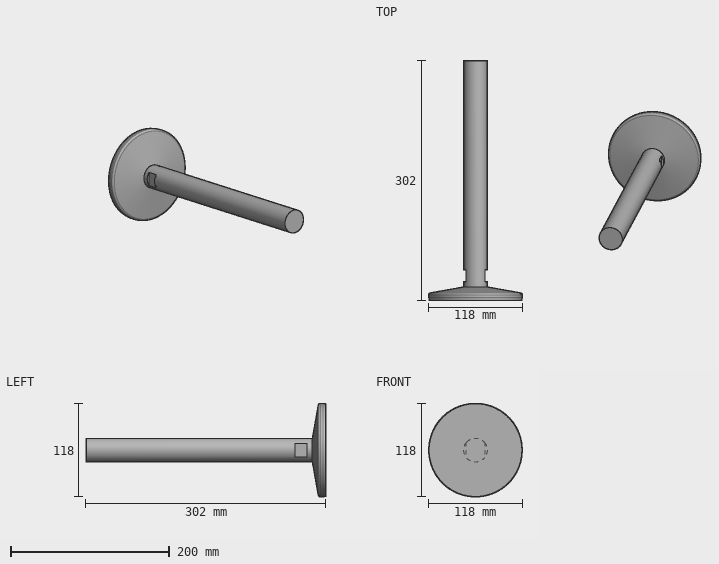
import cadquery as cq

total_length = 302.0
disc_diameter = 118.0
shaft_diameter = 30.0

face_inset = 0.5
taper_height = 4.0
rim_height = 9.5
disc_height = 17.2
shoulder_radius = 2.7
selection_margin = 0.3

flat_start = 24.0
flat_length = 14.8
across_flats = 24.5

disc_radius = disc_diameter / 2
shaft_radius = shaft_diameter / 2


def make_disc():
    """Turn the disc, then round the shoulder between its rim and its cone."""
    disc = (
        cq.Workplane("XY")
        .moveTo(0, 0)
        .lineTo(disc_radius - face_inset, 0)
        .lineTo(disc_radius, taper_height)
        .lineTo(disc_radius, rim_height)
        .lineTo(shaft_radius, disc_height)
        .lineTo(0, disc_height)
        .close()
        .revolve(360, (0, 0), (0, 1))
    )
    shoulder = cq.selectors.BoxSelector(
        (-disc_diameter, rim_height - selection_margin, -disc_diameter),
        (disc_diameter, rim_height + selection_margin, disc_diameter),
    )
    return disc.edges(shoulder).fillet(shoulder_radius)


def make_shaft():
    """Plain round bar from the disc face to the far end."""
    return cq.Workplane("XZ").circle(shaft_radius).extrude(-total_length)


def make_flat_cutter(side):
    """Block that leaves one wrench flat on the given X side (-1 or +1)."""
    center_x = side * (across_flats + shaft_diameter) / 2
    center_y = flat_start + flat_length / 2
    return (
        cq.Workplane("XY")
        .box(shaft_diameter, flat_length, shaft_diameter)
        .translate((center_x, center_y, 0))
    )


result = make_disc().union(make_shaft())
for side in (-1, 1):
    result = result.cut(make_flat_cutter(side))

result = result.translate((0, -total_length / 2, 0))